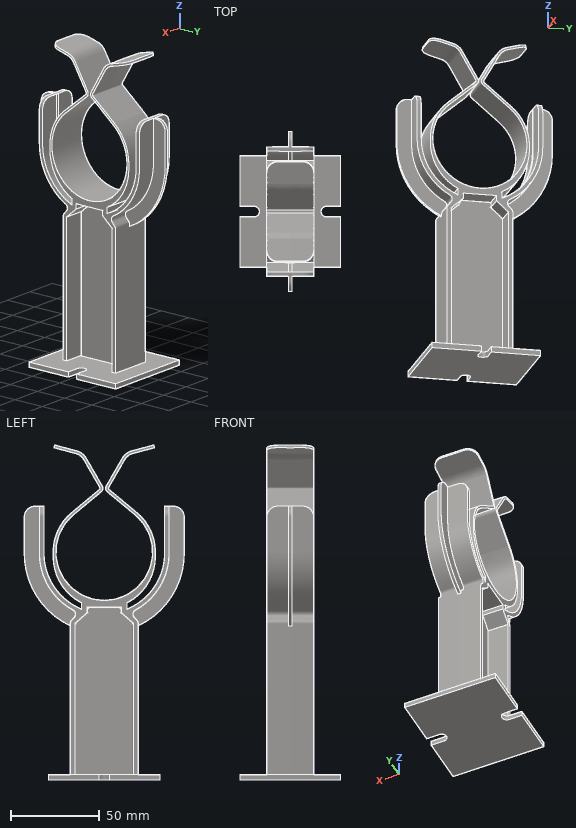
import cadquery as cq
import math

body_width = 26.7
total_height = 190.47
fin_span = 91.02

base_x = 57.15
base_y = 63.5
base_thickness = 3.175
slot_width = 5.9
slot_depth = 11.0

post_half_y = 19.4
flange_thickness = 2.8
web_thickness = 2.0
web_fillet = 0.8
draft = 0.5
shoulder_z = 89.9
shoulder_radius = 3.0
pocket_shoulder_z = 89.0
pocket_half_top = 9.6
pocket_corner_z = 95.2
pocket_top_z = 98.2

clip_center_z = 129.6
clip_inner_radius = 27.4
clip_thickness = 1.7
ring_side_drop = 2.5
tangent_angle = 50.3
neck_gap = 1.5
neck_bend_radius = 1.8
flare_angle = 60.0
lip_angle = 15.0
lip_bend_radius = 8.0
lip_reach = 28.4
corner_radius = 6.35

guard_inner_radius = 34.2
guard_drop = 0.7
guard_thickness = 2.7
guard_top_z = 155.7
guard_slot_y = 13.0
guard_slot_top_z = 100.7
crook_y = 14.8
crook_radius = 2.5
fin_thickness = 2.0

guard_center = (0, clip_center_z - guard_drop)


def polar(radius, degrees, center=(0.0, clip_center_z)):
    """Point at a polar angle about a center in the YZ plane."""
    angle = math.radians(degrees)
    return (center[0] + radius * math.cos(angle), center[1] + radius * math.sin(angle))


def arc_between(sketch, center, radius, start_angle, end_angle):
    """Continue a sketch along a circle between two polar angles."""
    middle = polar(radius, (start_angle + end_angle) / 2, center)
    return sketch.threePointArc(middle, polar(radius, end_angle, center))


half_sheet = clip_thickness / 2
clip_mid_radius = clip_inner_radius + half_sheet
neck_start = tangent_angle + 180
neck_end = flare_angle + 90
neck_y = neck_gap / 2 + half_sheet + neck_bend_radius
arm_start = polar(clip_mid_radius, tangent_angle)
arm_run = arm_start[0] - (neck_y + neck_bend_radius * math.cos(math.radians(neck_start)))
neck_z = (arm_start[1] + arm_run / math.tan(math.radians(tangent_angle))
          - neck_bend_radius * math.sin(math.radians(neck_start)))
neck_center = (neck_y, neck_z)

lip_end = lip_angle + 90
lip_tip = (lip_reach, total_height - half_sheet * math.cos(math.radians(lip_angle)))


def flare_length():
    """Straight run between the neck bend and the lip bend."""
    flare = math.radians(flare_angle)
    lip = math.radians(lip_angle)
    lip_normal = (-math.sin(lip), math.cos(lip))
    bend_step = lip_bend_radius - neck_bend_radius
    start_y = neck_center[0] + bend_step * math.sin(flare)
    start_z = neck_center[1] - bend_step * math.cos(flare)
    height = (start_y - lip_tip[0]) * lip_normal[0] + (start_z - lip_tip[1]) * lip_normal[1]
    return -(lip_bend_radius + height) / math.cos(flare - lip)


lip_center = polar(
    flare_length(),
    flare_angle,
    polar(neck_bend_radius - lip_bend_radius, neck_end, neck_center),
)


def half_outline(inset):
    """Outline of the +Y side: post flange, clip arm and guard, drawn in by an inset."""
    sheet = half_sheet - inset
    neck_big = neck_bend_radius + sheet
    neck_small = neck_bend_radius - sheet
    lip_big = lip_bend_radius + sheet
    lip_small = lip_bend_radius - sheet
    clip_center = (0, clip_center_z)
    ring_inner = clip_mid_radius - sheet
    ring_outer = clip_mid_radius + sheet
    guard_inner = guard_inner_radius + inset
    guard_outer = guard_inner_radius + guard_thickness - inset
    pocket_top = pocket_top_z + inset
    pocket_half = pocket_half_top + inset
    flange_outer = post_half_y - inset
    flange_inner = post_half_y - flange_thickness + inset
    slot_y = guard_slot_y - inset

    outline = cq.Workplane("YZ").moveTo(0, pocket_top).lineTo(0, clip_center_z - ring_inner)
    outline = arc_between(outline, clip_center, ring_inner, -90, tangent_angle)
    outline = outline.lineTo(*polar(neck_big, neck_start, neck_center))
    outline = arc_between(outline, neck_center, neck_big, neck_start, neck_end)
    outline = outline.lineTo(*polar(lip_big, neck_end, lip_center))
    outline = arc_between(outline, lip_center, lip_big, neck_end, lip_end)
    outline = outline.lineTo(*polar(sheet, lip_end, lip_tip))

    outline = outline.lineTo(*polar(-sheet, lip_end, lip_tip))
    outline = outline.lineTo(*polar(lip_small, lip_end, lip_center))
    outline = arc_between(outline, lip_center, lip_small, lip_end, neck_end)
    outline = outline.lineTo(*polar(neck_small, neck_end, neck_center))
    outline = arc_between(outline, neck_center, neck_small, neck_end, neck_start)
    outline = outline.lineTo(*polar(ring_outer, tangent_angle))
    outline = arc_between(outline, clip_center, ring_outer, tangent_angle, 0)
    outline = outline.lineTo(ring_outer, clip_center_z - ring_side_drop)
    outline = outline.tangentArcPoint((slot_y, guard_slot_top_z + inset), relative=False)

    slot_angle = -math.degrees(math.acos(slot_y / guard_inner))
    outline = outline.lineTo(*polar(guard_inner, slot_angle, guard_center))
    outline = arc_between(outline, guard_center, guard_inner, slot_angle, 0)
    outline = outline.lineTo(guard_inner, guard_top_z)
    outline = outline.lineTo(guard_outer, guard_top_z)
    outline = outline.lineTo(guard_outer, guard_center[1])
    crook_angle = -math.degrees(math.acos((crook_y - inset) / guard_outer))
    outline = arc_between(outline, guard_center, guard_outer, 0, crook_angle)

    outline = outline.lineTo(flange_outer, shoulder_z).lineTo(flange_outer, 0)
    outline = outline.lineTo(flange_inner, 0).lineTo(flange_inner, pocket_shoulder_z)
    outline = outline.lineTo(pocket_half, pocket_corner_z).lineTo(pocket_half, pocket_top)
    return outline.close().val()


def body_half():
    """The +Y side of the body, thinning from the middle plane to both edges."""
    edge_inset = body_width / 2 * math.tan(math.radians(draft))
    middle = half_outline(0)
    edge = half_outline(edge_inset).moved(cq.Location(cq.Vector(body_width / 2, 0, 0)))
    right = cq.Workplane(cq.Solid.makeLoft([middle, edge], True))
    return round_shoulder(round_free_corners(right.union(right.mirror("YZ"))))


def near(y, z, margin=0.5):
    """Selector for edges centered close to a place in the YZ plane, at any X."""
    return cq.selectors.BoxSelector(
        (-body_width, y - margin, z - margin), (body_width, y + margin, z + margin)
    )


def round_free_corners(half):
    """Round the corners at the lip end and at the guard top."""
    side_faces = half.faces("<X or >X")
    guard_middle = guard_inner_radius + guard_thickness / 2
    for y, z in (lip_tip, (guard_middle, guard_top_z)):
        corners = side_faces.edges(near(y, z)).vals()
        half = half.newObject(corners).fillet(corner_radius)
    return half


def round_shoulder(half):
    """Round the outside shoulder corner and the crook under the guard."""
    guard_outer_radius = guard_inner_radius + guard_thickness
    crook_z = guard_center[1] - math.sqrt(guard_outer_radius**2 - crook_y**2)
    half = half.edges(near(post_half_y, shoulder_z)).fillet(shoulder_radius)
    return half.edges(near(crook_y, crook_z)).fillet(crook_radius)


def web():
    """Thin wall filling the post pocket on the middle plane."""
    flange_inner = post_half_y - flange_thickness
    right_points = [
        (flange_inner, 0),
        (flange_inner, pocket_shoulder_z),
        (pocket_half_top, pocket_corner_z),
        (pocket_half_top, pocket_top_z),
    ]
    left_points = [(-y, z) for y, z in reversed(right_points)]
    outline = cq.Workplane("YZ").polyline(right_points + left_points).close()
    return outline.extrude(web_thickness / 2, both=True)


def fillet_web_roots(body):
    """Round the roots of the web against the flanges and the top of the pocket."""
    margin = 0.1
    for web_face_x in (-web_thickness / 2, web_thickness / 2):
        roots = cq.selectors.BoxSelector(
            (web_face_x - margin, -post_half_y, base_thickness),
            (web_face_x + margin, post_half_y, pocket_top_z + margin),
        )
        body = body.edges(roots).fillet(web_fillet)
    return body


def fin():
    """Stiffening rib on the outside of the +Y guard."""
    fin_radius = fin_span / 2
    shoulder_angle = -math.degrees(math.acos(post_half_y / fin_radius))
    crook_angle = -math.degrees(math.acos(crook_y / guard_inner_radius))
    outline = (
        cq.Workplane("YZ")
        .moveTo(guard_inner_radius, guard_top_z)
        .lineTo(fin_radius - corner_radius, guard_top_z)
        .radiusArc((fin_radius, guard_top_z - corner_radius), corner_radius)
        .lineTo(fin_radius, guard_center[1])
    )
    outline = arc_between(outline, guard_center, fin_radius, 0, shoulder_angle)
    outline = outline.lineTo(post_half_y - flange_thickness / 2, pocket_shoulder_z)
    outline = outline.lineTo(*polar(guard_inner_radius, crook_angle, guard_center))
    outline = arc_between(outline, guard_center, guard_inner_radius, crook_angle, 0).close()
    return outline.extrude(fin_thickness / 2, both=True)


def base_plate():
    """Mounting plate with a round-ended slot open to each X edge."""
    plate = cq.Workplane("XY").box(base_x, base_y, base_thickness, centered=(True, True, False))
    slots = (
        cq.Workplane("XY")
        .pushPoints([(-base_x / 2, 0), (base_x / 2, 0)])
        .slot2D(2 * slot_depth, slot_width)
        .extrude(base_thickness)
    )
    return plate.cut(slots)


half_body = body_half()
body = half_body.union(half_body.mirror("XZ")).union(web())
result = fillet_web_roots(body).union(base_plate())
for rib in (fin(), fin().mirror("XZ")):
    result = result.union(rib)